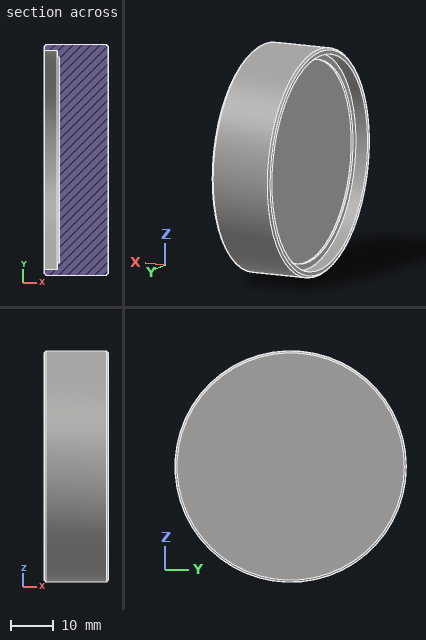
import cadquery as cq

outer_diameter = 54.0
width = 15.0
edge_chamfer = 0.5

mouth_diameter = 51.1
mouth_depth = 3.0
floor_diameter = 48.0
floor_step = 0.5
floor_depth = mouth_depth + floor_step


def disc(diameter, length):
    """Solid disc starting at the open face and extending along +X."""
    return cq.Workplane("YZ").circle(diameter / 2).extrude(length)


body = disc(outer_diameter, width).edges().chamfer(edge_chamfer)
mouth = disc(mouth_diameter, mouth_depth)
floor_recess = disc(floor_diameter, floor_depth)

result = body.cut(mouth).cut(floor_recess)